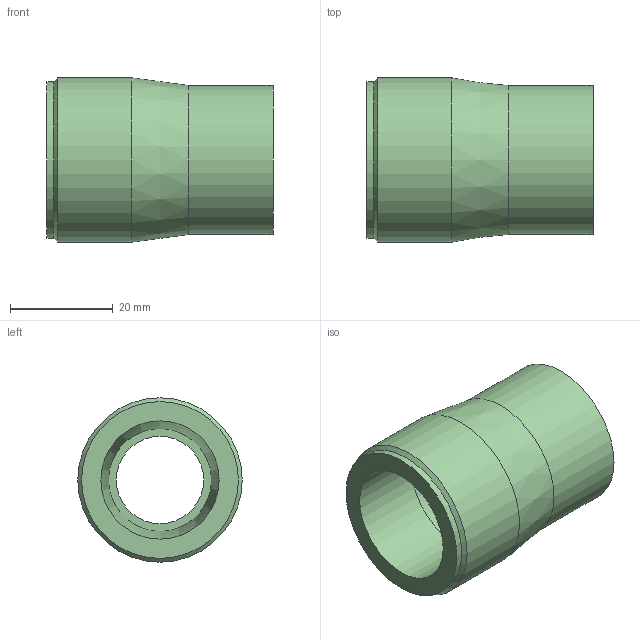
import cadquery as cq

length = 44.0
nose_diameter = 30.5
collar_diameter = 32.0
shank_diameter = 29.0
nose_length = 1.32
collar_end = 16.5
outer_taper_length = 11.0
shank_start = collar_end + outer_taper_length
collar_chamfer = (collar_diameter - nose_diameter) / 2

entry_diameter = 23.0
taper_end_diameter = 20.0
through_diameter = 17.0
entry_depth = 14.42
bore_taper_length = 11.0
step_depth = entry_depth + bore_taper_length


def revolve_about_x(outline):
    """Solid of revolution bounded by (x, radius) points and the X axis."""
    first_x = outline[0][0]
    last_x = outline[-1][0]
    points = [(first_x, 0), *outline, (last_x, 0)]
    return cq.Workplane("XZ").polyline(points).close().revolve(360, (0, 0, 0), (1, 0, 0))


def make_outer_body():
    """Nose, chamfered collar, taper and shank."""
    return revolve_about_x([
        (0, nose_diameter / 2),
        (nose_length, nose_diameter / 2),
        (nose_length + collar_chamfer, collar_diameter / 2),
        (collar_end, collar_diameter / 2),
        (shank_start, shank_diameter / 2),
        (length, shank_diameter / 2),
    ])


def make_bore():
    """Space removed by the tapered, stepped through bore."""
    return revolve_about_x([
        (0, entry_diameter / 2),
        (entry_depth, entry_diameter / 2),
        (step_depth, taper_end_diameter / 2),
        (step_depth, through_diameter / 2),
        (length, through_diameter / 2),
    ])


result = make_outer_body().cut(make_bore())